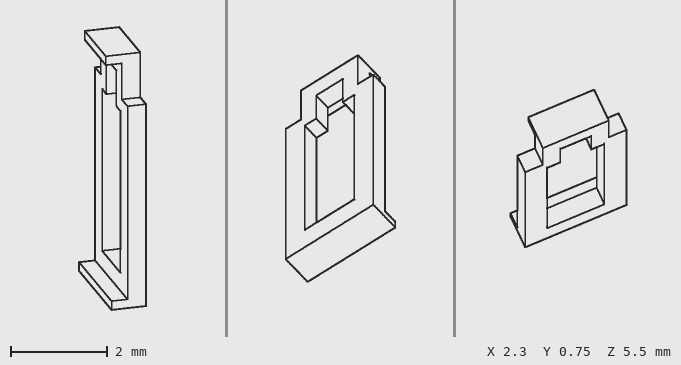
import cadquery as cq

height = 5.5
width = 2.3
depth = 0.75

plate_thickness = 0.4
lip_thickness = 0.2

neck_width = 1.495
neck_height = 1.0

window_width = 1.3
neck_window_width = 0.7
top_rail = 0.5
bottom_rail = 0.6
window_step_drop = 1.3

shoulder_z = height - neck_height
window_step_z = height - window_step_drop
window_top_z = height - top_rail


def block(block_width, y_start, y_end, z_start, z_end):
    """Box centred on X = 0, spanning the given Y and Z ranges."""
    size_y = y_end - y_start
    size_z = z_end - z_start
    box = cq.Workplane("XY").box(block_width, size_y, size_z, centered=(True, False, False))
    return box.translate((0, y_start, z_start))


def stepped_plate(lower_width, upper_width, bottom_z, step_z, top_z):
    """Plate-thick prism that narrows from the lower to the upper width at step_z."""
    lower = block(lower_width, 0, plate_thickness, bottom_z, step_z)
    upper = block(upper_width, 0, plate_thickness, step_z, top_z)
    return lower.union(upper)


outline = stepped_plate(width, neck_width, 0, shoulder_z, height)
window = stepped_plate(window_width, neck_window_width, bottom_rail, window_step_z, window_top_z)
frame = outline.cut(window)

lip_front_y = plate_thickness - depth
bottom_lip = block(width, lip_front_y, plate_thickness, 0, lip_thickness)
top_lip = block(neck_width, lip_front_y, plate_thickness, height - lip_thickness, height)

result = frame.union(bottom_lip).union(top_lip)